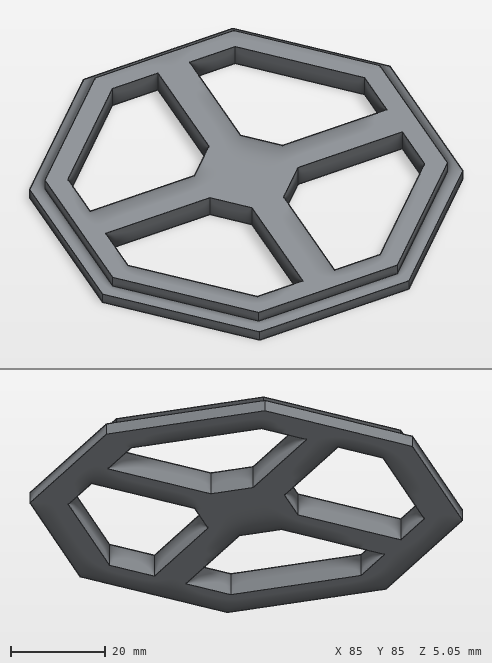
import cadquery as cq
import math

base_width = 85.0
plate_width = 79.0
opening_width = 69.95

base_thickness = 2.5
plate_thickness = 2.55
total_thickness = base_thickness + plate_thickness

spoke_width = 7.5
hub_width = 20.0

octagon_sides = 8
half_side_angle = 180 / octagon_sides


def octagon_prism(width, height):
    """Regular octagon standing on Z = 0, with flats facing X and Y."""
    corner_diameter = width / math.cos(math.radians(half_side_angle))
    return (
        cq.Workplane("XY")
        .transformed(rotate=(0, 0, half_side_angle))
        .polygon(octagon_sides, corner_diameter)
        .extrude(height)
    )


def spoke(length_x, length_y):
    """Straight bar through the centre, as thick as the whole frame."""
    return cq.Workplane("XY").rect(length_x, length_y).extrude(total_thickness)


base = octagon_prism(base_width, base_thickness)
plate = octagon_prism(plate_width, total_thickness)
opening = octagon_prism(opening_width, total_thickness)
rim = base.union(plate).cut(opening)

hub = (
    cq.Workplane("XY")
    .transformed(rotate=(0, 0, 45))
    .rect(hub_width, hub_width)
    .extrude(total_thickness)
)

spoke_length = (plate_width + opening_width) / 2
spoke_along_x = spoke(spoke_length, spoke_width)
spoke_along_y = spoke(spoke_width, spoke_length)

result = rim.union(spoke_along_x).union(spoke_along_y).union(hub).clean()